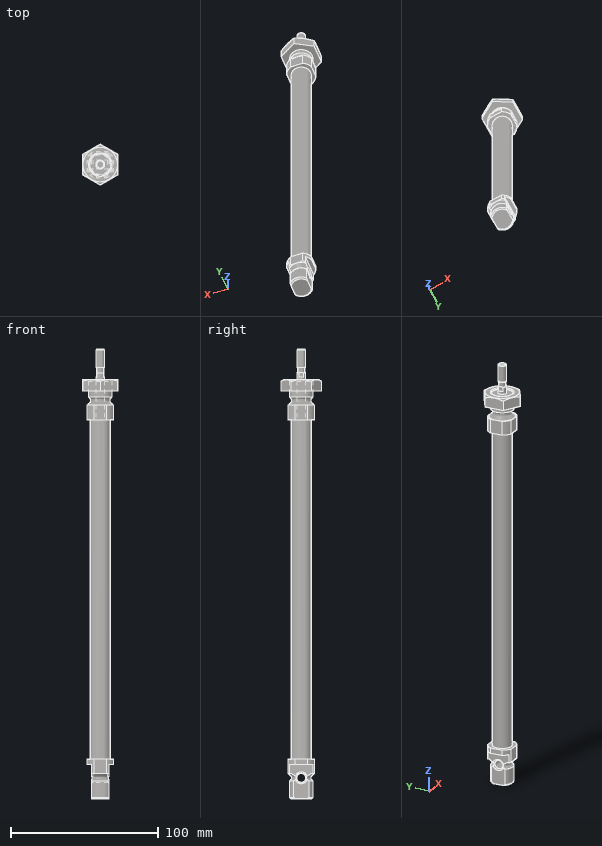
import cadquery as cq
import math

total_length = 305.0

rod_diameter = 6.0
rod_end_chamfer = 0.6
rod_thread_length = 12.4
rod_end_length = 16.0
rod_neck_diameter = 4.8
rod_flats_width = 5.0
rod_flats_length = 3.0
rod_depth_in_cap = 10.0
rod_thread_root_z = total_length - rod_thread_length
rod_shoulder_z = total_length - rod_end_length
rod_neck_fillet = (rod_diameter - rod_neck_diameter) / 2

tube_diameter = 13.7
cap_diameter = 20.0
cap_flats_width = 18.0
thread_diameter = 16.0

groove_diameter = 13.3
groove_fillet = 0.8

box_margin = 0.1

mounting_face_to_rod_shoulder = 22.0
front_cap_length = 10.0
mounting_thread_length = 17.0
mounting_thread_end_diameter = 14.38
front_groove_length = 5.5
mounting_face_z = rod_shoulder_z - mounting_face_to_rod_shoulder
front_cap_bottom_z = mounting_face_z - front_cap_length
front_groove_end_z = mounting_face_z + front_groove_length
front_thread_end_z = mounting_face_z + mounting_thread_length
mounting_thread_chamfer = (thread_diameter - mounting_thread_end_diameter) / 2
rod_bottom_z = mounting_face_z - rod_depth_in_cap

rear_cap_top_z = 27.0
rear_cap_bottom_z = 17.3
rear_groove_end_z = 12.2
tail_chamfer = 1.0
tongue_top_z = 23.2
tongue_width = 12.0
pivot_z = 14.3
pivot_hole_diameter = 6.0
pivot_countersink_diameter = 8.0

nut_width = 24.0
nut_thickness = 8.0
nut_top_z = 284.5
nut_chamfer_diameter = 23.4
nut_chamfer_angle = 30.0
nut_bottom_z = nut_top_z - nut_thickness
nut_across_corners = nut_width / math.cos(math.radians(30))

trim_size = 2 * cap_diameter


def cylinder(diameter, bottom_z, top_z):
    return cq.Workplane("XY", origin=(0, 0, bottom_z)).circle(diameter / 2).extrude(top_z - bottom_z)


def outside_flats(width, bottom_z, top_z):
    """Material to remove on the -X and +X sides to leave two flats."""
    blank = cq.Workplane("XY", origin=(0, 0, bottom_z)).rect(trim_size, trim_size)
    return blank.rect(width, trim_size).extrude(top_z - bottom_z)


def cap_body(bottom_z, top_z):
    square = cq.Workplane("XY", origin=(0, 0, bottom_z)).rect(cap_flats_width, cap_flats_width)
    return cylinder(cap_diameter, bottom_z, top_z).intersect(square.extrude(top_z - bottom_z))


def grooved_stud(cap_z, groove_end_z, stud_end_z, end_chamfer):
    """Turned stud on a cap face: cone, filleted groove, full diameter, end chamfer."""
    direction = math.copysign(1, stud_end_z - cap_z)
    cone_radius = cap_flats_width / 2
    groove_radius = groove_diameter / 2
    stud_radius = thread_diameter / 2
    groove_start_z = cap_z + direction * (cone_radius - groove_radius)
    groove_stop_z = groove_end_z - direction * (stud_radius - groove_radius)
    stud = (
        cq.Workplane("XZ")
        .moveTo(0, cap_z)
        .lineTo(cone_radius, cap_z)
        .lineTo(groove_radius, groove_start_z)
        .lineTo(groove_radius, groove_stop_z)
        .lineTo(stud_radius, groove_end_z)
        .lineTo(stud_radius, stud_end_z - direction * end_chamfer)
        .lineTo(stud_radius - end_chamfer, stud_end_z)
        .lineTo(0, stud_end_z)
        .close()
        .revolve(360, (0, 0, 0), (0, 1, 0))
    )
    low_z = min(groove_start_z, groove_stop_z)
    high_z = max(groove_start_z, groove_stop_z)
    groove_box = cq.selectors.BoxSelector(
        (-cap_diameter, -cap_diameter, low_z - box_margin),
        (cap_diameter, cap_diameter, high_z + box_margin),
    )
    return stud.edges("%CIRCLE").edges(groove_box).fillet(groove_fillet)


def pivot_hole():
    """Hole along X with a 45 degree countersink on each tongue face."""
    hole_radius = pivot_hole_diameter / 2
    countersink_radius = pivot_countersink_diameter / 2
    outer_x = tongue_width / 2
    inner_x = outer_x - (countersink_radius - hole_radius)
    return (
        cq.Workplane("XZ", origin=(0, 0, pivot_z))
        .moveTo(-outer_x, 0)
        .lineTo(-outer_x, countersink_radius)
        .lineTo(-inner_x, hole_radius)
        .lineTo(inner_x, hole_radius)
        .lineTo(outer_x, countersink_radius)
        .lineTo(outer_x, 0)
        .close()
        .revolve(360, (0, 0, 0), (1, 0, 0))
    )


def build_rear_cap():
    cap = cap_body(rear_cap_bottom_z, rear_cap_top_z)
    cap = cap.union(grooved_stud(rear_cap_bottom_z, rear_groove_end_z, 0, tail_chamfer))
    return cap.cut(outside_flats(tongue_width, 0, tongue_top_z)).cut(pivot_hole())


def build_front_cap():
    cap = cap_body(front_cap_bottom_z, mounting_face_z)
    stud = grooved_stud(mounting_face_z, front_groove_end_z, front_thread_end_z, mounting_thread_chamfer)
    return cap.union(stud).cut(cylinder(rod_diameter, rod_bottom_z, front_thread_end_z))


def build_housing():
    tube = cylinder(tube_diameter, rear_cap_top_z, front_cap_bottom_z)
    return build_rear_cap().union(tube).union(build_front_cap())


def build_rod():
    rod_radius = rod_diameter / 2
    neck_radius = rod_neck_diameter / 2
    turned = (
        cq.Workplane("XZ")
        .moveTo(0, rod_bottom_z)
        .lineTo(rod_radius, rod_bottom_z)
        .lineTo(rod_radius, rod_shoulder_z)
        .radiusArc((neck_radius, rod_shoulder_z + rod_neck_fillet), rod_neck_fillet)
        .lineTo(neck_radius, rod_thread_root_z)
        .lineTo(rod_radius, rod_thread_root_z)
        .lineTo(rod_radius, total_length - rod_end_chamfer)
        .lineTo(rod_radius - rod_end_chamfer, total_length)
        .lineTo(0, total_length)
        .close()
        .revolve(360, (0, 0, 0), (0, 1, 0))
    )
    flats_bottom_z = rod_shoulder_z - rod_flats_length
    return turned.cut(outside_flats(rod_flats_width, flats_bottom_z, rod_shoulder_z + rod_neck_fillet))


def build_nut():
    hexagon = cq.Workplane("XY", origin=(0, 0, nut_bottom_z)).polygon(6, nut_across_corners)
    hexagon = hexagon.extrude(nut_thickness).rotate((0, 0, 0), (0, 0, 1), 30)
    corner_radius = nut_across_corners / 2
    chamfer_radius = nut_chamfer_diameter / 2
    chamfer_drop = (corner_radius - chamfer_radius) * math.tan(math.radians(nut_chamfer_angle))
    envelope = (
        cq.Workplane("XZ")
        .moveTo(0, nut_bottom_z)
        .lineTo(corner_radius, nut_bottom_z)
        .lineTo(corner_radius, nut_top_z - chamfer_drop)
        .lineTo(chamfer_radius, nut_top_z)
        .lineTo(0, nut_top_z)
        .close()
        .revolve(360, (0, 0, 0), (0, 1, 0))
    )
    return hexagon.intersect(envelope).cut(cylinder(thread_diameter, nut_bottom_z, nut_top_z))


housing = build_housing()
rod = build_rod()
nut = build_nut()
result = cq.Compound.makeCompound([housing.val(), rod.val(), nut.val()])